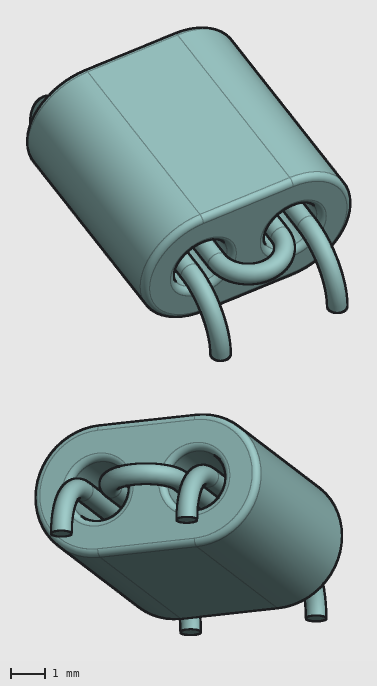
import cadquery as cq

overall_length = 11.2
core_length = 7.0
core_width = 7.0
core_height = 4.0
edge_radius = 0.2
hole_diameter = 1.8
hole_spacing = core_width - core_height

wire_diameter = 0.6
wire_radius = wire_diameter / 2
wire_offset = 0.45
lead_y = hole_spacing / 2 + wire_offset
loop_radius = hole_spacing / 2 - wire_offset
face_x = core_length / 2
lead_end_x = overall_length / 2 - wire_radius
bend_radius = lead_end_x - face_x
diagonal = 0.5 ** 0.5


def make_core():
    """Stadium-section block with two through holes and rounded end edges."""
    body = cq.Workplane("YZ").slot2D(core_width, core_height).extrude(face_x, both=True)
    holes = (
        cq.Workplane("YZ")
        .pushPoints([(-hole_spacing / 2, 0), (hole_spacing / 2, 0)])
        .circle(hole_diameter / 2)
        .extrude(face_x, both=True)
    )
    return body.cut(holes).faces("<X or >X").edges().fillet(edge_radius)


def make_lead(y):
    """Straight wire through the core, bent down a quarter turn at both ends."""
    mid_x = face_x + bend_radius * diagonal
    mid_z = -bend_radius * (1 - diagonal)
    path = (
        cq.Workplane("XZ", origin=(0, y, 0))
        .moveTo(-lead_end_x, -bend_radius)
        .threePointArc((-mid_x, mid_z), (-face_x, 0))
        .lineTo(face_x, 0)
        .threePointArc((mid_x, mid_z), (lead_end_x, -bend_radius))
    )
    start = cq.Workplane("XY", origin=(-lead_end_x, y, -bend_radius))
    return start.circle(wire_radius).sweep(path)


def make_loop():
    """Closed wire loop through both holes, with a half turn beyond each end face."""
    turn_x = face_x + loop_radius
    path = (
        cq.Workplane("XY")
        .moveTo(-face_x, -loop_radius)
        .lineTo(face_x, -loop_radius)
        .threePointArc((turn_x, 0), (face_x, loop_radius))
        .lineTo(-face_x, loop_radius)
        .threePointArc((-turn_x, 0), (-face_x, -loop_radius))
        .close()
    )
    start = cq.Workplane("YZ", origin=(-face_x, -loop_radius, 0))
    return start.circle(wire_radius).sweep(path)


core = make_core()
loop = make_loop()
leads = [make_lead(y) for y in (-lead_y, lead_y)]

result = cq.Compound.makeCompound([core.val(), loop.val(), *[lead.val() for lead in leads]])